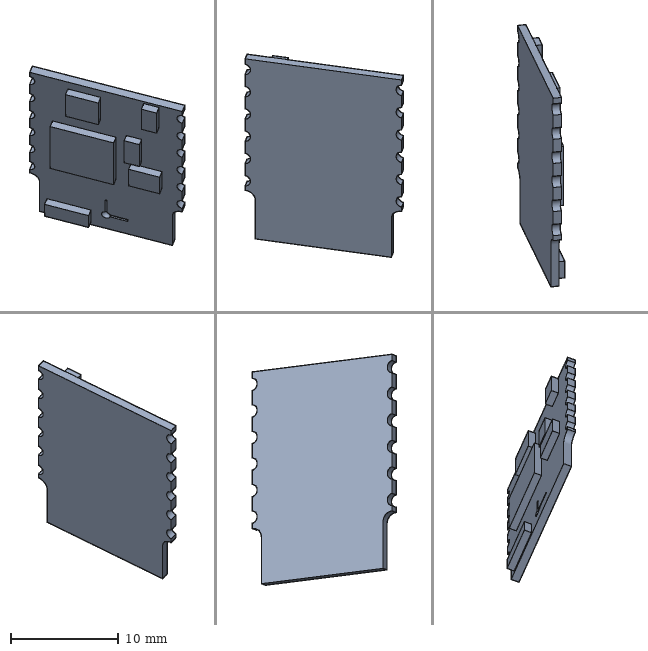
import cadquery as cq

board_width = 15.0
board_height = 20.4
board_thickness = 0.8

tail_width = 13.05
shoulder_z = 5.39
shoulder_radius = 0.94

notch_count = 6
notch_span = 12.7
notch_pitch = notch_span / (notch_count - 1)
notch_radius = 0.6
notch_center_offset = 0.08
top_notch_z = 19.2

standard_depth = 0.71
low_depth = 0.65
components = [
    (-3.73, 16.15, 3.22, 3.22, standard_depth),
    (-5.25, 7.77, 6.25, 6.25, standard_depth),
    (3.71, 17.12, 1.5, 3.0, standard_depth),
    (2.0, 11.38, 1.5, 3.28, low_depth),
    (2.47, 8.18, 3.04, 2.47, standard_depth),
    (-5.8, 0.4, 4.32, 1.77, standard_depth),
]

marker_z = 2.0
dimple_radius = 0.43
groove_radius = 0.112
groove_length = 2.18


def make_board():
    half_width = board_width / 2
    half_tail = tail_width / 2
    margin = (half_width - half_tail) / 2
    board = (
        cq.Workplane("XZ")
        .moveTo(-half_tail, 0)
        .lineTo(half_tail, 0)
        .lineTo(half_tail, shoulder_z)
        .lineTo(half_width, shoulder_z)
        .lineTo(half_width, board_height)
        .lineTo(-half_width, board_height)
        .lineTo(-half_width, shoulder_z)
        .lineTo(-half_tail, shoulder_z)
        .close()
        .extrude(board_thickness)
    )
    corner_box = cq.selectors.BoxSelector(
        (-half_tail - margin, -board_thickness, shoulder_z - margin),
        (half_tail + margin, 0, shoulder_z + margin),
    )
    return board.edges("|Y").edges(corner_box).fillet(shoulder_radius)


def make_notches():
    notch_x = board_width / 2 + notch_center_offset
    centers = [
        (side * notch_x, top_notch_z - index * notch_pitch)
        for side in (-1, 1)
        for index in range(notch_count)
    ]
    return cq.Workplane("XZ").pushPoints(centers).circle(notch_radius).extrude(board_thickness)


def make_component(left, bottom, width, height, depth):
    front_y = -board_thickness - depth
    return cq.Workplane("XY").box(width, depth, height, centered=False).translate((left, front_y, bottom))


def make_groove():
    """Round-ended groove cutter running from the origin along +Z."""
    shaft = cq.Workplane("XY").circle(groove_radius).extrude(groove_length - groove_radius)
    tip = cq.Workplane("XY").sphere(groove_radius).translate((0, 0, groove_length - groove_radius))
    return shaft.union(tip)


def make_axis_marker():
    up_groove = make_groove()
    side_groove = make_groove().rotate((0, 0, 0), (0, 1, 0), 90)
    dimple = cq.Workplane("XY").sphere(dimple_radius)
    marker = dimple.union(up_groove).union(side_groove)
    return marker.translate((0, -board_thickness, marker_z))


result = make_board().cut(make_notches()).cut(make_axis_marker())
for component in components:
    result = result.union(make_component(*component))